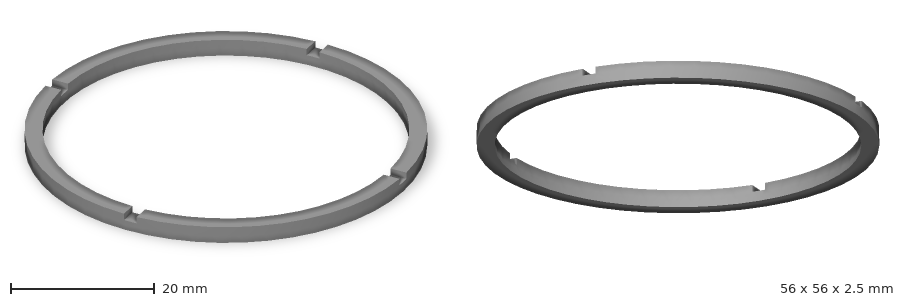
import cadquery as cq

outer_diameter = 56.0
inner_diameter = 51.0
height = 2.5
notch_width = 2.0
notch_depth = 1.0


def make_ring():
    """Plain flat ring standing on the XY plane."""
    return (
        cq.Workplane("XY")
        .circle(outer_diameter / 2)
        .circle(inner_diameter / 2)
        .extrude(height)
    )


def make_notch_cutter(angle):
    """Bar across the full diameter, cutting two opposite notches in the top face."""
    return (
        cq.Workplane("XY")
        .workplane(offset=height - notch_depth)
        .rect(outer_diameter, notch_width)
        .extrude(notch_depth)
        .rotate((0, 0, 0), (0, 0, 1), angle)
    )


result = make_ring()
for notch_angle in (0, 90):
    result = result.cut(make_notch_cutter(notch_angle))